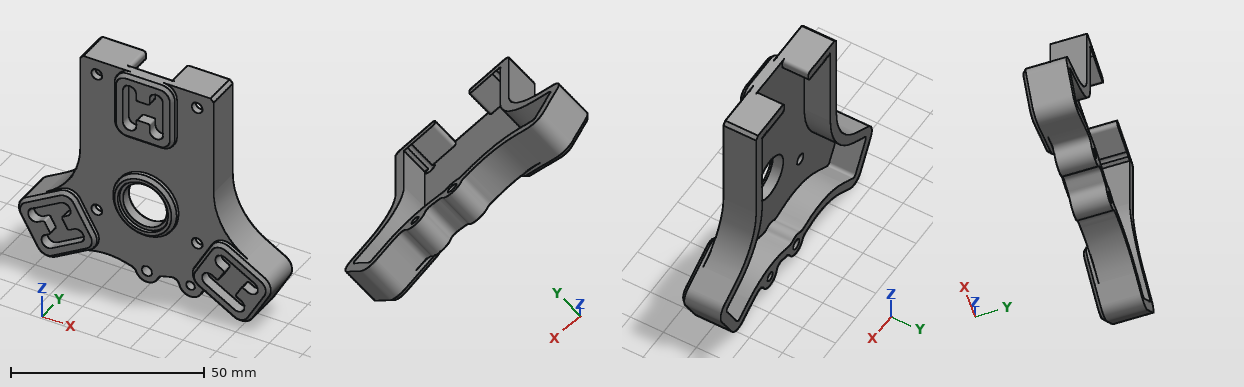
import cadquery as cq
import math

overall_width = 75.35
overall_depth = 12.0
pad_height = 2.0
plate_depth = overall_depth - pad_height

body_half_width = 20.0
top_chamfer = 1.0
blend_radius = 20.0
rim_radius = 22.0

pad_angles = (0, 120, -120)
pad_width = 18.0
pad_half_width = pad_width / 2
pad_length = 20.0
pad_corner = 4.0
pad_chamfer = 1.0

arm_slope = math.radians(30)
arm_cos = math.cos(arm_slope)
arm_sin = math.sin(arm_slope)

corner_across = pad_half_width - pad_corner
corner_along = (overall_width / 2 - pad_corner - corner_across * arm_sin) / arm_cos
pad_far = corner_along + pad_corner
pad_center = pad_far - pad_length / 2
body_top = pad_far

h_width = 12.0
h_length = 14.0
h_leg = 4.0
h_bar = 6.0
h_corner = 0.5
h_depth = 3.0

ring_diameter = 19.0
ring_chamfer = 1.0
counterbore_diameter = 15.1
counterbore_depth = 1.0
bore_diameter = 13.0

floor_thickness = 2.0
wall = 3.0
slot_width = 12.0
slot_corner = 1.0

plate_hole_diameter = 3.2
plate_hole_x = 15.0
plate_hole_top = 35.6
plate_hole_bottom = -7.4

boss_radius = 3.5
boss_fillet = 2.0
ear_z = -21.5
ear_spacing = 13.0
ear_holes = ((0, 3.0), (ear_spacing, 2.55))

plate_hole_points = [
    (x, z)
    for x in (-plate_hole_x, plate_hole_x)
    for z in (plate_hole_top, plate_hole_bottom)
]
ear_points = [(x, ear_z) for x, _ in ear_holes]


def front_plane(y):
    """Plane facing -Y at depth y; its local axes are X and Z."""
    return cq.Workplane("XZ", origin=(0, y, 0))


def arm_point(along, across):
    """Point of the lower left arm: distance outwards from the bore, and towards its upper side."""
    return (-along * arm_cos - across * arm_sin, -along * arm_sin + across * arm_cos)


def plate_outline():
    """Closed outline of the plate without the ears, drawn as a left half and mirrored."""
    bevel = pad_corner * math.sqrt(0.5)

    meet_along = (body_half_width - pad_half_width * arm_sin) / arm_cos
    meet_z = arm_point(meet_along, pad_half_width)[1]
    tangent = blend_radius * arm_sin / arm_cos
    upper_start = (-body_half_width, meet_z + tangent)
    upper_end = arm_point(meet_along + tangent, pad_half_width)
    upper_mid = (
        -body_half_width - blend_radius * (1 - arm_cos),
        upper_start[1] - blend_radius * arm_sin,
    )

    center_across = pad_half_width + blend_radius
    center_distance = rim_radius + blend_radius
    center_along = math.sqrt(center_distance**2 - center_across**2)
    cx, cz = arm_point(center_along, -center_across)
    lower_start = arm_point(center_along, -pad_half_width)
    lower_mid = (cx, cz + blend_radius)
    lower_end = (cx * rim_radius / center_distance, cz * rim_radius / center_distance)
    rim_mid_angle = math.atan2(lower_end[0], -lower_end[1]) / 2
    rim_mid = (rim_radius * math.sin(rim_mid_angle), -rim_radius * math.cos(rim_mid_angle))

    return (
        front_plane(0)
        .moveTo(0, body_top)
        .lineTo(-body_half_width + top_chamfer, body_top)
        .lineTo(-body_half_width, body_top - top_chamfer)
        .lineTo(*upper_start)
        .threePointArc(upper_mid, upper_end)
        .lineTo(*arm_point(corner_along, pad_half_width))
        .threePointArc(
            arm_point(corner_along + bevel, corner_across + bevel),
            arm_point(pad_far, corner_across),
        )
        .lineTo(*arm_point(pad_far, -corner_across))
        .threePointArc(
            arm_point(corner_along + bevel, -corner_across - bevel),
            arm_point(corner_along, -pad_half_width),
        )
        .lineTo(*lower_start)
        .threePointArc(lower_mid, lower_end)
        .threePointArc(rim_mid, (0, -rim_radius))
        .mirrorY()
    )


def round_boss_joints(solid, points):
    """Fillet the corners where the bosses at these points meet the bottom wall."""
    reach = 1.1 * boss_radius
    for x, z in points:
        box = cq.selectors.BoxSelector((x - reach, 0, z - reach), (x + reach, plate_depth, z + reach))
        solid = solid.edges("|Y").edges(box).fillet(boss_fillet)
    return solid


def make_plate():
    plate = plate_outline().extrude(-plate_depth)
    ears = front_plane(0).pushPoints(ear_points).circle(boss_radius).extrude(-plate_depth)
    return round_boss_joints(plate.union(ears), ear_points)


def make_cavity():
    """Space behind the floor and inside the wall."""
    cavity_depth = plate_depth - floor_thickness
    cavity = plate_outline().offset2D(-wall).extrude(-cavity_depth)
    middle_ear = ear_points[:1]
    ear_boss = front_plane(0).pushPoints(middle_ear).circle(boss_radius).extrude(-cavity_depth)
    cavity = round_boss_joints(cavity.cut(ear_boss), middle_ear)
    return cavity.translate((0, floor_thickness, 0))


def make_slot():
    """Opening through the top wall, with rounded wall corners at both ends of each side."""
    half = slot_width / 2
    flare = half + slot_corner
    bend = slot_corner * (1 - math.sqrt(0.5))
    wall_bottom = body_top - wall
    return (
        front_plane(floor_thickness)
        .moveTo(0, body_top)
        .lineTo(flare, body_top)
        .threePointArc((half + bend, body_top - bend), (half, body_top - slot_corner))
        .lineTo(half, wall_bottom + slot_corner)
        .threePointArc((half + bend, wall_bottom + bend), (flare, wall_bottom))
        .lineTo(0, wall_bottom)
        .mirrorY()
        .extrude(floor_thickness - plate_depth)
    )


def make_pad():
    return (
        front_plane(0)
        .center(0, pad_center)
        .rect(pad_width, pad_length)
        .extrude(pad_height)
        .edges("|Y")
        .fillet(pad_corner)
        .faces("<Y")
        .chamfer(pad_chamfer)
    )


def make_h_recess():
    leg_x = (h_width - h_leg) / 2
    plane = front_plane(-pad_height).center(0, pad_center)
    legs = plane.pushPoints([(-leg_x, 0), (leg_x, 0)]).slot2D(h_length, h_leg, 90).extrude(-h_depth)
    bar = plane.rect(2 * leg_x, h_bar).extrude(-h_depth)
    inner_x = leg_x - h_leg / 2
    middle = cq.selectors.BoxSelector(
        (-inner_x - h_corner, -plate_depth, 0), (inner_x + h_corner, plate_depth, body_top)
    )
    return legs.union(bar).edges("|Y").edges(middle).fillet(h_corner)


def around_bore(shape, angle):
    return shape.rotate((0, 0, 0), (0, 1, 0), angle)


def make_hole(diameter, points):
    return front_plane(-pad_height).pushPoints(points).circle(diameter / 2).extrude(-overall_depth)


result = make_plate().cut(make_cavity()).cut(make_slot())

for angle in pad_angles:
    result = result.union(around_bore(make_pad(), angle))
    result = result.cut(around_bore(make_h_recess(), angle))

ring = front_plane(0).circle(ring_diameter / 2).extrude(pad_height).faces("<Y").edges().chamfer(ring_chamfer)
counterbore = front_plane(-pad_height).circle(counterbore_diameter / 2).extrude(-counterbore_depth)
result = result.union(ring).cut(counterbore).cut(make_hole(bore_diameter, [(0, 0)]))

result = result.cut(make_hole(plate_hole_diameter, plate_hole_points))
for x, diameter in ear_holes:
    result = result.cut(make_hole(diameter, [(x, ear_z)]))